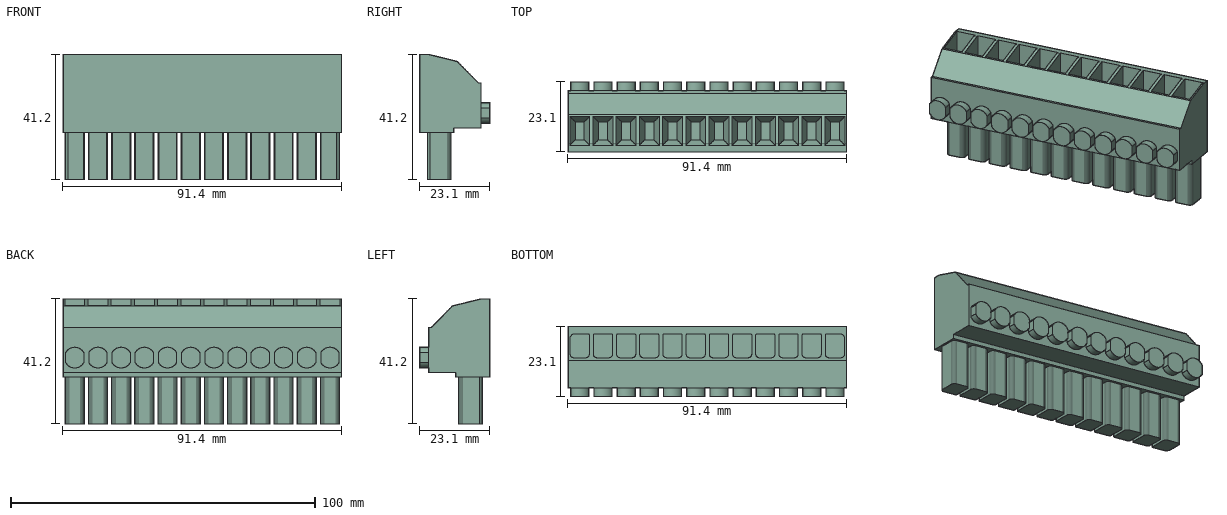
import cadquery as cq
import math

pole_count = 12
pitch = 7.62
housing_length = pole_count * pitch
overall_height = 41.15
overall_depth = 23.1

housing_depth = 20.2
housing_bottom = 15.45
rear_bottom = 16.9
rear_bottom_front = 11.25
rear_top = 31.75
chamfer_foot = 19.3
shoulder_y = 12.3
shoulder_z = 38.85
crest_depth = 2.9

funnel_front = 2.25
funnel_rear = 11.72
funnel_width = 6.55
funnel_wall_inset = 1.8
funnel_taper_top = 31.5
funnel_taper_depth = 3.25

button_diameter = 6.8
button_width = 6.0
button_length = overall_depth - housing_depth
button_z = 21.85

pin_front = 2.5
pin_rear = 10.35
pin_width = 6.35
pin_chamfer = 0.3
end_pin_chamfer = 0.95
pin_rear_radius = 1.25
pin_rear_facets = 8


def pole_x(index):
    """X position of a pole's middle."""
    return (index + 0.5) * pitch


def make_housing():
    """Stepped housing with a sloping top, extruded along the row."""
    profile = [
        (0, housing_bottom),
        (rear_bottom_front, housing_bottom),
        (rear_bottom_front, rear_bottom),
        (housing_depth, rear_bottom),
        (housing_depth, rear_top),
        (chamfer_foot, rear_top),
        (shoulder_y, shoulder_z),
        (crest_depth, overall_height),
        (0, overall_height),
    ]
    return cq.Workplane("YZ").polyline(profile).close().extrude(housing_length)


def make_funnel(x):
    """Rectangular wire entry: straight sides above, tapering to a flat floor."""
    length = funnel_rear - funnel_front
    middle_y = (funnel_front + funnel_rear) / 2
    straight = (
        cq.Workplane("XY", origin=(x, middle_y, funnel_taper_top))
        .rect(funnel_width, length)
        .extrude(overall_height - funnel_taper_top)
    )
    taper = (
        cq.Workplane("XY", origin=(x, middle_y, funnel_taper_top - funnel_taper_depth))
        .rect(funnel_width - 2 * funnel_wall_inset, length - 2 * funnel_wall_inset)
        .workplane(offset=funnel_taper_depth)
        .rect(funnel_width, length)
        .loft(ruled=True)
    )
    return straight.union(taper)


def make_button(x):
    """Round button with flats on its two sides, standing on the rear face."""
    base = cq.Workplane("XZ", origin=(x, overall_depth, button_z))
    cylinder = base.circle(button_diameter / 2).extrude(button_length)
    flats = base.rect(button_width, button_diameter).extrude(button_length)
    return cylinder.intersect(flats)


def rear_corner(x, side):
    """Faceted quarter round from the pin's flank to its rear; side is 1 for +X, -1 for -X."""
    points = []
    for step in range(pin_rear_facets + 1):
        angle = math.pi / 2 * step / pin_rear_facets
        half_width = pin_width / 2 - pin_rear_radius * (1 - math.cos(angle))
        y = pin_rear - pin_rear_radius * (1 - math.sin(angle))
        points.append((x + side * half_width, y))
    return points


def make_pin(index):
    """Pin with chamfered front corners, larger on the row's two ends, and rounded rear corners."""
    x = pole_x(index)
    left = x - pin_width / 2
    right = x + pin_width / 2
    left_chamfer = end_pin_chamfer if index == 0 else pin_chamfer
    right_chamfer = end_pin_chamfer if index == pole_count - 1 else pin_chamfer
    front_corners = [
        (left, pin_front + left_chamfer),
        (left + left_chamfer, pin_front),
        (right - right_chamfer, pin_front),
        (right, pin_front + right_chamfer),
    ]
    outline = front_corners + rear_corner(x, 1) + rear_corner(x, -1)[::-1]
    return cq.Workplane("XY").polyline(outline).close().extrude(housing_bottom)


result = make_housing()
for pole in range(pole_count):
    result = result.cut(make_funnel(pole_x(pole)))
    result = result.union(make_button(pole_x(pole)))
    result = result.union(make_pin(pole))